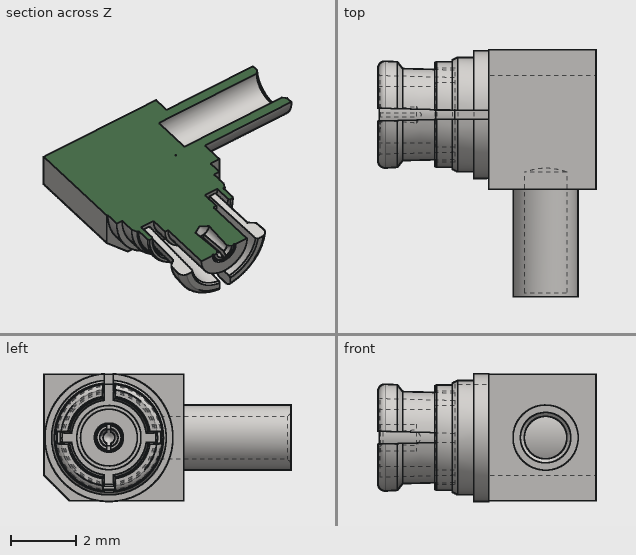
import cadquery as cq


plug_length = 3.405
body_length = 3.3
body_height = 3.9
body_back = 2.0
body_front = 2.3
corner_chamfer = 0.79

tube_length = 3.3
tube_radius = 1.0
tube_x = 5.15
tube_bore_radius = 0.65
tube_bore_chamfer = 0.12
body_core_radius = 1.76

root_x = 2.36
nose_face_radius = 1.48
nose_radius = 1.66
nose_round_end = 0.23
nose_round_mid = (0.07, 1.595)
nose_back_x = 0.59
nose_back_radius = 1.635
neck_x = 0.76
neck_front_radius = 1.43
neck_root_radius = 1.38
mouth_radius = 1.28
mouth_chamfer = 0.05
cavity_root_radius = 1.155
finger_count = 4
slot_half_width_nose = 0.2
slot_half_width_root = 0.14

collar_front_x = 1.75
collar_radius = 1.63
collar_bore_radius = 1.445
collar_bore_chamfer = 0.05
collar_edge_chamfer = 0.06
collar_edge_drop = 0.03
step_x = 2.28
step_front_radius = 1.68
step_cone_end = 2.45
step_radius = 1.76
flange_x = 2.94
flange_radius = 1.97

groove_half_width = 0.14
groove_floor = 1.64

insulator_face_x = 0.04
insulator_radius = 0.875
insulator_step_x = 1.77
insulator_core_radius = 0.99
contact_radius = 0.41
contact_chamfer = 0.04
socket_mouth_radius = 0.28
socket_neck_radius = 0.18
socket_lead = 0.115
socket_radius = 0.25
socket_depth = 1.14
socket_point = 0.15
contact_slot_half_width = 0.06


def turn(outline):
    """Revolve a closed (x, radius) outline about the X axis."""
    return outline.close().revolve(360, (0, 0, 0), (1, 0, 0))


def turn_points(points):
    return turn(cq.Workplane("XY").polyline(points))


def rod(x_start, x_end, radius):
    return cq.Workplane("YZ", origin=(x_start, 0, 0)).circle(radius).extrude(x_end - x_start)


def block(x_start, x_end, half_width, z_start, z_end):
    """Box centred on Y = 0."""
    width = 2 * half_width
    corner = cq.Workplane("XY", origin=(x_start, 0, z_start))
    return corner.box(x_end - x_start, width, z_end - z_start, centered=(False, True, False))


def make_body():
    half_height = body_height / 2
    return (
        cq.Workplane("YZ", origin=(plug_length, 0, 0))
        .moveTo(-body_front, -half_height)
        .lineTo(body_back - corner_chamfer, -half_height)
        .lineTo(body_back, -half_height + corner_chamfer)
        .lineTo(body_back, half_height)
        .lineTo(-body_front, half_height)
        .close()
        .extrude(body_length)
    )


def make_collar():
    return turn_points(
        [
            (collar_front_x, collar_bore_radius + collar_bore_chamfer),
            (collar_front_x, collar_radius - collar_edge_drop),
            (collar_front_x + collar_edge_chamfer, collar_radius),
            (step_x, collar_radius),
            (step_x, step_front_radius),
            (step_cone_end, step_radius),
            (flange_x, step_radius),
            (flange_x, flange_radius),
            (plug_length, flange_radius),
            (plug_length, 0),
            (root_x, 0),
            (root_x, collar_bore_radius),
            (collar_front_x + collar_bore_chamfer, collar_bore_radius),
        ]
    )


def make_fingers():
    shell = turn(
        cq.Workplane("XY")
        .moveTo(0, mouth_radius)
        .lineTo(0, nose_face_radius)
        .threePointArc(nose_round_mid, (nose_round_end, nose_radius))
        .lineTo(nose_back_x, nose_back_radius)
        .lineTo(neck_x, neck_front_radius)
        .lineTo(root_x, neck_root_radius)
        .lineTo(root_x, cavity_root_radius)
        .lineTo(mouth_chamfer, mouth_radius - mouth_chamfer)
    )
    slot = (
        cq.Workplane("XY")
        .polyline(
            [
                (0, -slot_half_width_nose),
                (root_x, -slot_half_width_root),
                (root_x, slot_half_width_root),
                (0, slot_half_width_nose),
            ]
        )
        .close()
        .extrude(flange_radius)
    )
    for index in range(finger_count):
        shell = shell.cut(slot.rotate((0, 0, 0), (1, 0, 0), index * 360 / finger_count))
    return shell


def make_key_groove():
    through_collar = block(collar_front_x, root_x, groove_half_width, 0, flange_radius)
    across_flange = block(root_x, plug_length, groove_half_width, groove_floor, flange_radius)
    return through_collar.union(across_flange)


def make_tube():
    return (
        cq.Workplane("XZ", origin=(tube_x, -body_front, 0))
        .circle(tube_radius)
        .extrude(tube_length)
    )


def make_tube_bore():
    """Chamfered bore that stops at the round core inside the body."""
    tube_end = body_front + tube_length
    bore = (
        cq.Workplane("XY")
        .polyline(
            [
                (0, 0),
                (tube_bore_radius, 0),
                (tube_bore_radius, -tube_end + tube_bore_chamfer),
                (tube_bore_radius + tube_bore_chamfer, -tube_end),
                (0, -tube_end),
            ]
        )
        .close()
        .revolve(360, (0, 0, 0), (0, 1, 0))
        .translate((tube_x, 0, 0))
    )
    return bore.cut(rod(plug_length, plug_length + body_length, body_core_radius))


def make_insulator():
    front = rod(insulator_face_x, insulator_step_x, insulator_radius)
    core = rod(insulator_step_x, root_x, insulator_core_radius)
    return front.union(core)


def make_contact_relief():
    """V-shaped ring groove left between the chamfered contact and the chamfered insulator hole."""
    return turn_points(
        [
            (insulator_face_x, contact_radius - contact_chamfer),
            (insulator_face_x + contact_chamfer, contact_radius),
            (insulator_face_x, contact_radius + contact_chamfer),
        ]
    )


def make_contact_socket():
    socket_neck_x = insulator_face_x + socket_lead
    floor_x = insulator_face_x + socket_depth
    bore = turn_points(
        [
            (insulator_face_x, 0),
            (insulator_face_x, socket_mouth_radius),
            (socket_neck_x, socket_neck_radius),
            (floor_x, socket_radius),
            (floor_x + socket_point, 0),
        ]
    )
    slot = block(insulator_face_x, floor_x, contact_slot_half_width, -contact_radius, contact_radius)
    return bore.union(slot.intersect(rod(insulator_face_x, floor_x, contact_radius)))


shell = make_collar().union(make_fingers()).cut(make_key_groove())
housing = shell.union(make_body()).union(make_tube()).cut(make_tube_bore())
result = housing.union(make_insulator()).cut(make_contact_relief()).cut(make_contact_socket())